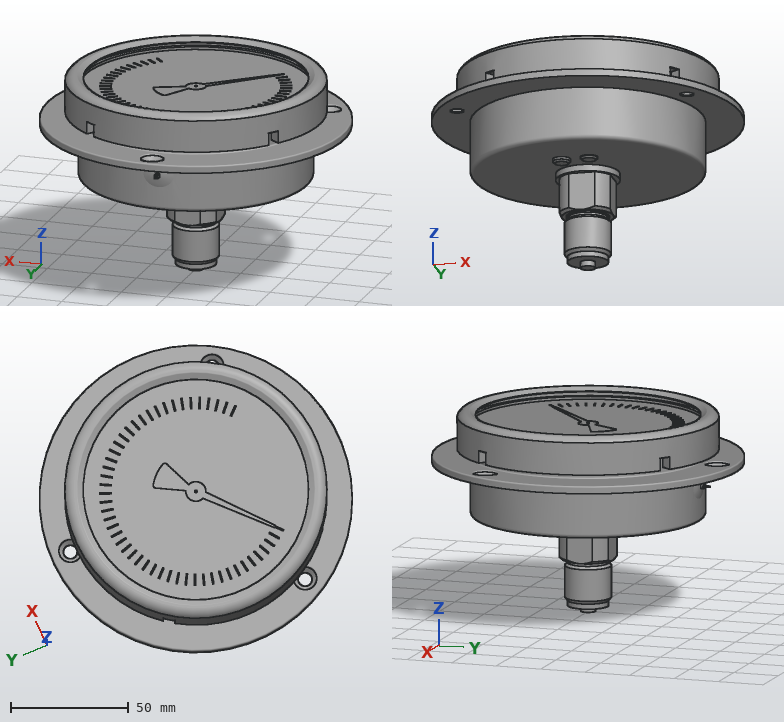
import cadquery as cq
import math


case_radius = 50.1
case_edge_round = 1.7
neck_radius = 50.5
lip_radius = 54.9
lip_bottom_z = 34.0
lip_top_z = 40.8

bezel_radius = 55.7
bezel_bottom_z = 28.7
bezel_top_z = 45.1
bezel_shoulder_z = 42.7
bezel_flat_radius = 51.9
bezel_rim_radius = 50.5
bezel_rim_round = 0.8
window_radius = 47.9
window_top_z = 43.6
window_bottom_z = 43.2
glass_pocket_radius = 51.9
notch_width = 5.0
notch_count = 4
notch_first_angle = 55

dial_diameter = 99.5
dial_z = 39.6
marking_height = 0.1
tick_count = 50
tick_width = 0.5
tick_inner_radius = 36.0
tick_outer_radius = 40.8
scale_start_angle = 222.4
scale_sweep = 270

pointer_hub_radius = 4.3
pointer_axle_diameter = 0.98
axle_height = 0.3
needle_length = 36.8
needle_root_half_width = 1.6
needle_tip_half_width = 0.5
tail_radius = 18.4
tail_root_half_width = 1.5
tail_root_distance = 4
tail_end_half_width = 6.1
tail_corner_round = 1.2

flange_radius = 66.5
flange_bottom_z = 22.9
flange_top_z = 26.1
flange_edge_round = 0.7
flange_root_round = 0.7
mount_circle_radius = 58.0
mount_hole_diameter = 5.9
mount_sink_diameter = 9.8
mount_count = 3
mount_first_angle = 90

boss_radius = 13.7
boss_bottom_z = -2.8
square_width = 22.2
square_corner_diameter = 25.0
square_bottom_z = -19.2
square_chamfer_height = 1.2
neck_groove_radius = 8.8
neck_groove_flare = 0.5
neck_groove_bottom_z = -20.7
thread_radius = 10.0
thread_bottom_z = -35.6
spigot_radius = 8.8
spigot_top_z = -37.1
spigot_bottom_z = -39.4
tip_radius = 3.2
tip_bottom_z = -41.9

screw_places = [(-6.0, -22.9, 1.0), (6.0, -22.9, 0.3), (0, 17.0, 0.3)]
screw_diameter = 7.6
screw_face_diameter = 5.9
screw_bevel_height = 0.8

plug_z = 15.8
plug_diameter = 14.5
plug_base_y = 49.5
plug_crown_y = 51.0
plug_nub_diameter = 2.1
plug_nub_y = 52.0
plug_stem_diameter = 0.5
plug_stem_y = 54.9


def disc(radius, bottom_z, top_z):
    return cq.Workplane("XY").workplane(offset=bottom_z).circle(radius).extrude(top_z - bottom_z)


def turned(profile):
    """Solid of revolution about Z from a closed XZ outline."""
    return profile.close().revolve(360, (0, 0, 0), (0, 1, 0))


def make_case():
    body = disc(case_radius, 0, flange_bottom_z).faces("<Z").edges().fillet(case_edge_round)
    neck = disc(neck_radius, flange_bottom_z, lip_top_z)
    lip = disc(lip_radius, lip_bottom_z, lip_top_z)
    dial_recess = disc(dial_diameter / 2, dial_z, lip_top_z)
    return body.union(neck).union(lip).cut(dial_recess)


def make_mount_hole():
    """Cutter on the Z axis: countersunk through hole whose mouth is rounded over."""
    hole_radius = mount_hole_diameter / 2
    sink_radius = mount_sink_diameter / 2
    sink_top_z = flange_top_z - flange_edge_round
    mouth_radius = sink_radius + flange_edge_round
    mid_offset = flange_edge_round * math.sqrt(0.5)
    return turned(
        cq.Workplane("XZ")
        .moveTo(0, flange_bottom_z)
        .lineTo(hole_radius, flange_bottom_z)
        .lineTo(hole_radius, sink_top_z - (sink_radius - hole_radius))
        .lineTo(sink_radius, sink_top_z)
        .threePointArc((mouth_radius - mid_offset, sink_top_z + mid_offset), (mouth_radius, flange_top_z))
        .lineTo(0, flange_top_z)
    )


def make_flange():
    plate = disc(flange_radius, flange_bottom_z, flange_top_z)
    plate = plate.faces(">Z").edges().fillet(flange_edge_round)
    for i in range(mount_count):
        hole = make_mount_hole().translate((mount_circle_radius, 0, 0))
        angle = mount_first_angle + i * 360 / mount_count
        plate = plate.cut(hole.rotate((0, 0, 0), (0, 0, 1), angle))
    root_top_z = flange_top_z + flange_root_round
    root_radius = neck_radius + flange_root_round
    mid_offset = flange_root_round * (1 - math.sqrt(0.5))
    root = turned(
        cq.Workplane("XZ")
        .moveTo(0, flange_top_z)
        .lineTo(root_radius, flange_top_z)
        .threePointArc((neck_radius + mid_offset, flange_top_z + mid_offset), (neck_radius, root_top_z))
        .lineTo(0, root_top_z)
    )
    return plate.union(root)


def make_connector():
    boss = disc(boss_radius, boss_bottom_z, 0)
    square = (
        cq.Workplane("XY")
        .workplane(offset=square_bottom_z)
        .rect(square_width, square_width)
        .extrude(boss_bottom_z - square_bottom_z)
    )
    corner_radius = square_corner_diameter / 2
    corner_limit = turned(
        cq.Workplane("XZ")
        .moveTo(0, square_bottom_z)
        .lineTo(square_width / 2, square_bottom_z)
        .lineTo(corner_radius, square_bottom_z + square_chamfer_height)
        .lineTo(corner_radius, boss_bottom_z)
        .lineTo(0, boss_bottom_z)
    )
    thread_chamfer = thread_radius - neck_groove_radius
    shank = turned(
        cq.Workplane("XZ")
        .moveTo(0, square_bottom_z)
        .lineTo(neck_groove_radius + neck_groove_flare, square_bottom_z)
        .lineTo(neck_groove_radius, square_bottom_z - neck_groove_flare)
        .lineTo(neck_groove_radius, neck_groove_bottom_z)
        .lineTo(thread_radius, neck_groove_bottom_z - thread_chamfer)
        .lineTo(thread_radius, thread_bottom_z)
        .lineTo(spigot_radius, spigot_top_z)
        .lineTo(spigot_radius, spigot_bottom_z)
        .lineTo(tip_radius, spigot_bottom_z)
        .lineTo(tip_radius, tip_bottom_z)
        .lineTo(0, tip_bottom_z)
    )
    return boss.union(square.intersect(corner_limit)).union(shank)


def make_screw(x, y, rim_height):
    rim_radius = screw_diameter / 2
    screw = turned(
        cq.Workplane("XZ")
        .lineTo(rim_radius, 0)
        .lineTo(rim_radius, -rim_height)
        .lineTo(screw_face_diameter / 2, -rim_height - screw_bevel_height)
        .lineTo(0, -rim_height - screw_bevel_height)
    )
    return screw.translate((x, y, 0))


def make_plug():
    plug_radius = plug_diameter / 2
    crown_rise = plug_crown_y - plug_base_y
    crown_radius = (plug_radius**2 + crown_rise**2) / (2 * crown_rise)
    mid_radius = plug_radius / 2
    mid_y = plug_crown_y - crown_radius + math.sqrt(crown_radius**2 - mid_radius**2)
    nub_radius = plug_nub_diameter / 2
    stem_radius = plug_stem_diameter / 2
    root_y = case_radius - 2 * crown_rise
    crown = (
        cq.Workplane("XY")
        .moveTo(0, root_y)
        .lineTo(plug_radius, root_y)
        .lineTo(plug_radius, plug_base_y)
        .threePointArc((mid_radius, mid_y), (0, plug_crown_y))
        .close()
        .revolve(360, (0, 0, 0), (0, 1, 0))
    )
    nub = cq.Workplane("XZ", origin=(0, root_y, 0)).circle(nub_radius).extrude(root_y - plug_nub_y)
    stem = cq.Workplane("XZ", origin=(0, root_y, 0)).circle(stem_radius).extrude(root_y - plug_stem_y)
    return crown.union(nub).union(stem).translate((0, 0, plug_z))


def make_tick():
    """Scale tick lying along +X."""
    tick_length = tick_outer_radius - tick_inner_radius
    tick_middle = (tick_inner_radius + tick_outer_radius) / 2
    tick = cq.Workplane("XY", origin=(tick_middle, 0, dial_z)).rect(tick_length, tick_width)
    return tick.extrude(marking_height)


def make_pointer():
    """Pointer with its needle along +X and its flared tail along -X."""
    dial_plane = cq.Workplane("XY").workplane(offset=dial_z)
    hub = dial_plane.circle(pointer_hub_radius).extrude(marking_height)
    needle = (
        dial_plane.moveTo(0, needle_root_half_width)
        .lineTo(needle_length, needle_tip_half_width)
        .lineTo(needle_length, -needle_tip_half_width)
        .lineTo(0, -needle_root_half_width)
        .close()
        .extrude(marking_height)
    )
    tail_end_x = -math.sqrt(tail_radius**2 - tail_end_half_width**2)
    tail = (
        dial_plane.moveTo(-tail_root_distance, tail_root_half_width)
        .lineTo(tail_end_x, tail_end_half_width)
        .threePointArc((-tail_radius, 0), (tail_end_x, -tail_end_half_width))
        .lineTo(-tail_root_distance, -tail_root_half_width)
        .close()
        .extrude(marking_height)
        .edges("|Z")
        .edges("<X")
        .fillet(tail_corner_round)
    )
    axle = disc(pointer_axle_diameter / 2, dial_z, dial_z + axle_height)
    pointer = hub.union(needle).union(tail).union(axle)
    return pointer.rotate((0, 0, 0), (0, 0, 1), scale_start_angle)


def make_housing():
    body = make_case().union(make_flange()).union(make_connector()).union(make_plug())
    for x, y, rim_height in screw_places:
        body = body.union(make_screw(x, y, rim_height))
    body = body.union(make_pointer())
    tick_step = scale_sweep / (tick_count - 1)
    for i in range(tick_count):
        angle = scale_start_angle - i * tick_step
        body = body.union(make_tick().rotate((0, 0, 0), (0, 0, 1), angle))
    return body


def make_bezel():
    """Ring that grips the case lip from both sides and overhangs the edge of the dial."""
    shoulder_drop = bezel_top_z - bezel_shoulder_z
    shoulder_width = bezel_radius - bezel_flat_radius
    shoulder_round = (shoulder_width**2 + shoulder_drop**2) / (2 * shoulder_drop)
    mid_width = shoulder_width / 2
    mid_z = bezel_top_z - shoulder_round + math.sqrt(shoulder_round**2 - mid_width**2)
    ring = turned(
        cq.Workplane("XZ")
        .moveTo(neck_radius, bezel_bottom_z)
        .lineTo(bezel_radius, bezel_bottom_z)
        .lineTo(bezel_radius, bezel_shoulder_z)
        .threePointArc((bezel_flat_radius + mid_width, mid_z), (bezel_flat_radius, bezel_top_z))
        .lineTo(bezel_rim_radius, bezel_top_z)
        .lineTo(window_radius, window_top_z)
        .lineTo(window_radius, window_bottom_z)
        .lineTo(glass_pocket_radius, window_bottom_z)
        .lineTo(glass_pocket_radius, lip_top_z)
        .lineTo(lip_radius, lip_top_z)
        .lineTo(lip_radius, lip_bottom_z)
        .lineTo(neck_radius, lip_bottom_z)
    )
    inner_rim = ring.faces(">Z").edges(cq.selectors.RadiusNthSelector(0))
    ring = inner_rim.fillet(bezel_rim_round)
    notch_length = bezel_radius - neck_radius
    notch = (
        cq.Workplane("XY", origin=(neck_radius + notch_length / 2, 0, bezel_bottom_z))
        .rect(2 * notch_length, notch_width)
        .extrude(lip_bottom_z - bezel_bottom_z)
    )
    for i in range(notch_count):
        angle = notch_first_angle + i * 360 / notch_count
        ring = ring.cut(notch.rotate((0, 0, 0), (0, 0, 1), angle))
    return ring


housing = make_housing()
bezel = make_bezel()
result = cq.Compound.makeCompound([housing.val(), bezel.val()])